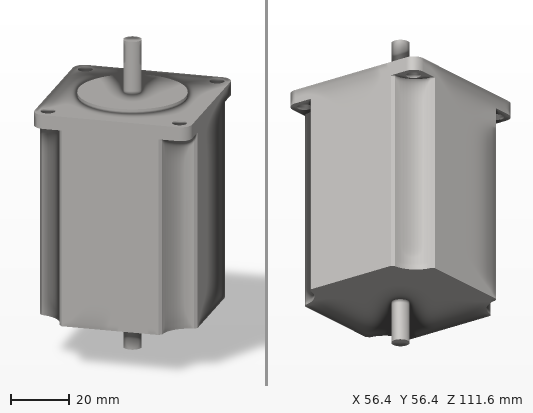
import cadquery as cq

total_height = 111.6
width = 56.4

rear_shaft_length = 15.0
motor_length = 76.0
flange_thickness = 5.0
pilot_height = 1.6

shaft_diameter = 6.4
pilot_diameter = 38.0
flange_corner_radius = 4.0
hole_diameter = 5.1
hole_spacing = 47.1

flat_width = 34.6
groove_radius = 9.9

body_length = motor_length - flange_thickness
flange_bottom = rear_shaft_length + body_length
flange_top = rear_shaft_length + motor_length
corner_chamfer = (width - flat_width) / 2


def square_prism(bottom, height):
    """Square block of the full width, centred on the shaft axis."""
    return cq.Workplane("XY", origin=(0, 0, bottom)).rect(width, width).extrude(height)


def corner_cylinders(bottom, height, spacing, diameter):
    """Four upright cylinders on the corners of a centred square."""
    plane = cq.Workplane("XY", origin=(0, 0, bottom))
    return plane.rect(spacing, spacing, forConstruction=True).vertices().circle(diameter / 2).extrude(height)


def make_body():
    body = square_prism(rear_shaft_length, body_length).edges("|Z").chamfer(corner_chamfer)
    return body.cut(corner_cylinders(rear_shaft_length, body_length, width, 2 * groove_radius))


def make_flange():
    flange = square_prism(flange_bottom, flange_thickness).edges("|Z").fillet(flange_corner_radius)
    return flange.cut(corner_cylinders(flange_bottom, flange_thickness, hole_spacing, hole_diameter))


def make_pilot():
    plane = cq.Workplane("XY", origin=(0, 0, flange_top))
    return plane.circle(pilot_diameter / 2).extrude(pilot_height)


def make_shaft():
    """Shaft running right through the motor and out of both ends."""
    return cq.Workplane("XY").circle(shaft_diameter / 2).extrude(total_height)


result = make_body().union(make_flange()).union(make_pilot()).union(make_shaft())